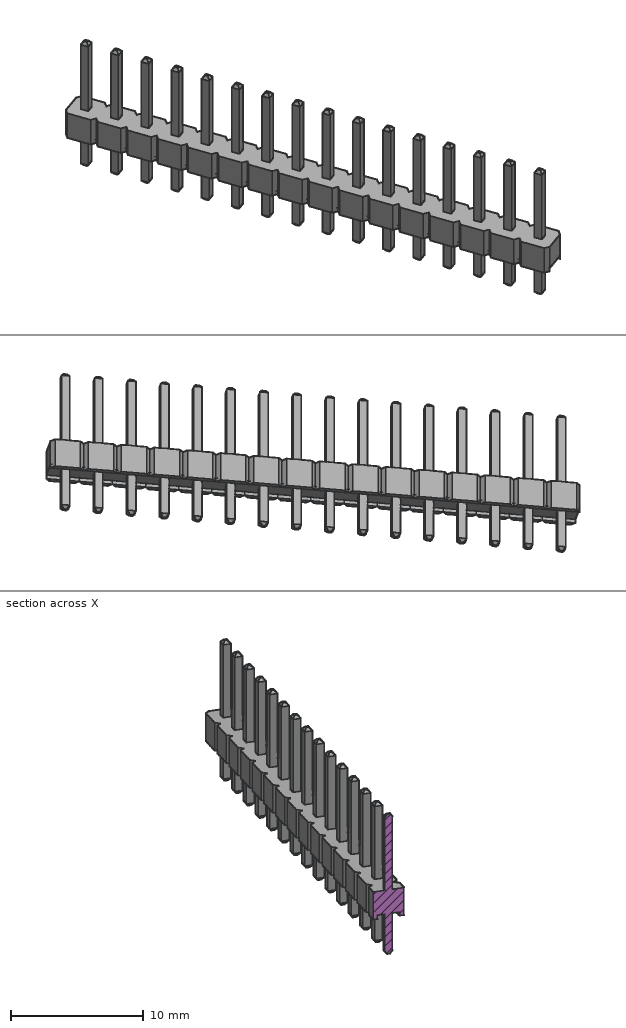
import cadquery as cq

pin_count = 16
pitch = 2.54
row_length = pin_count * pitch

body_depth = 2.49
body_height = 2.3
corner_x = 0.3
corner_y = 0.36
channel_width = body_depth - 2 * corner_y
channel_height = 0.3

pin_side = 0.64
pin_length = 11.54
pin_below_body = 3.0
tip_height = 0.25
tip_side = 0.24


def cell_center_x(index):
    """X position of one cell, with the row centred on the origin."""
    return (index - (pin_count - 1) / 2) * pitch


def make_cell(center_x):
    """One housing cell: a block with its four upright corners cut off."""
    half_x = pitch / 2
    half_y = body_depth / 2
    flat_x = half_x - corner_x
    flat_y = half_y - corner_y
    outline = [
        (-half_x, -flat_y),
        (-flat_x, -half_y),
        (flat_x, -half_y),
        (half_x, -flat_y),
        (half_x, flat_y),
        (flat_x, half_y),
        (-flat_x, half_y),
        (-half_x, flat_y),
    ]
    return cq.Workplane("XY").center(center_x, 0).polyline(outline).close().extrude(body_height)


def make_channel():
    """Shallow channel along the whole underside of the housing."""
    return cq.Workplane("XY").box(row_length, channel_width, channel_height, centered=(True, True, False))


def make_tip(center_x, base_z, direction):
    """Tapered pin end, narrowing from base_z upward (direction 1) or downward (direction -1)."""
    return (
        cq.Workplane("XY", origin=(center_x, 0, base_z))
        .rect(pin_side, pin_side)
        .workplane(offset=direction * tip_height)
        .rect(tip_side, tip_side)
        .loft(ruled=True)
    )


def make_pin(center_x):
    """Square pin through the housing, tapered at both ends."""
    shank_bottom = tip_height - pin_below_body
    shank_length = pin_length - 2 * tip_height
    shank = (
        cq.Workplane("XY", origin=(center_x, 0, shank_bottom))
        .rect(pin_side, pin_side)
        .extrude(shank_length)
    )
    upper_tip = make_tip(center_x, shank_bottom + shank_length, 1)
    lower_tip = make_tip(center_x, shank_bottom, -1)
    return shank.union(upper_tip).union(lower_tip)


housing = make_cell(cell_center_x(0))
for index in range(1, pin_count):
    housing = housing.union(make_cell(cell_center_x(index)))
result = housing.cut(make_channel())

for index in range(pin_count):
    result = result.union(make_pin(cell_center_x(index)))